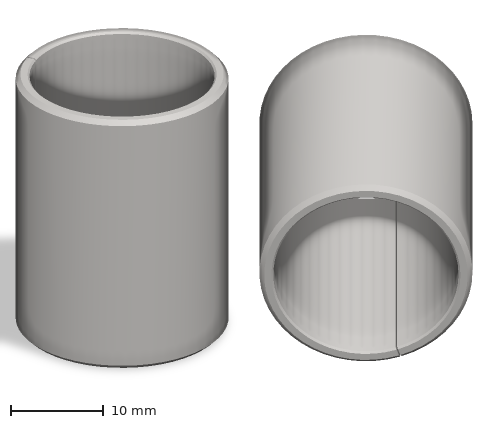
import cadquery as cq

length = 30.0
outer_diameter = 23.0
bore_diameter = 20.0
outer_chamfer = 0.5
bore_chamfer = 0.2
slit_angle = 1.0

outer_radius = outer_diameter / 2
bore_radius = bore_diameter / 2


def wall_section():
    """Wall profile on the -X side, with chamfers at both ends."""
    return (
        cq.Workplane("XZ")
        .moveTo(-bore_radius - bore_chamfer, 0)
        .lineTo(-outer_radius + outer_chamfer, 0)
        .lineTo(-outer_radius, outer_chamfer)
        .lineTo(-outer_radius, length - outer_chamfer)
        .lineTo(-outer_radius + outer_chamfer, length)
        .lineTo(-bore_radius - bore_chamfer, length)
        .lineTo(-bore_radius, length - bore_chamfer)
        .lineTo(-bore_radius, bore_chamfer)
        .close()
    )


result = wall_section().revolve(360 - slit_angle, (0, 0, 0), (0, 1, 0))